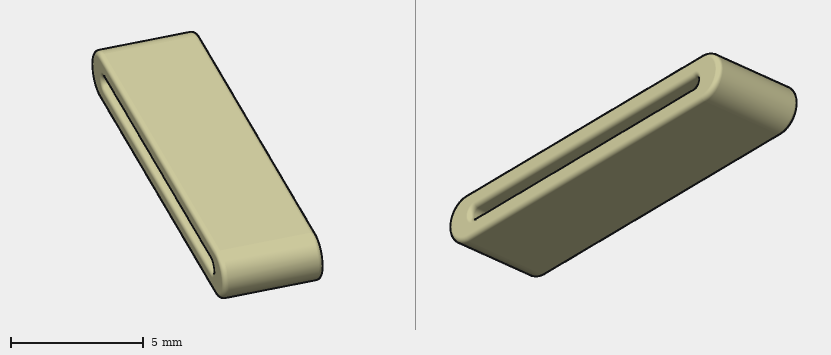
import cadquery as cq

length = 15.5
depth = 4.0
height = 2.0
slot_length = 13.0
slot_height = 0.5
edge_radius = 0.2


def oblong_bar(bar_length, bar_height):
    """Bar with fully rounded ends, running along Y and centred on the origin."""
    return (
        cq.Workplane("XZ")
        .slot2D(bar_length, bar_height)
        .extrude(depth / 2, both=True)
    )


def round_rims(body):
    """Round every edge of the two end faces: the outer rims and the slot rims."""
    return body.faces("<Y or >Y").edges().fillet(edge_radius)


outer_bar = oblong_bar(length, height)
through_slot = oblong_bar(slot_length, slot_height)

result = round_rims(outer_bar.cut(through_slot))